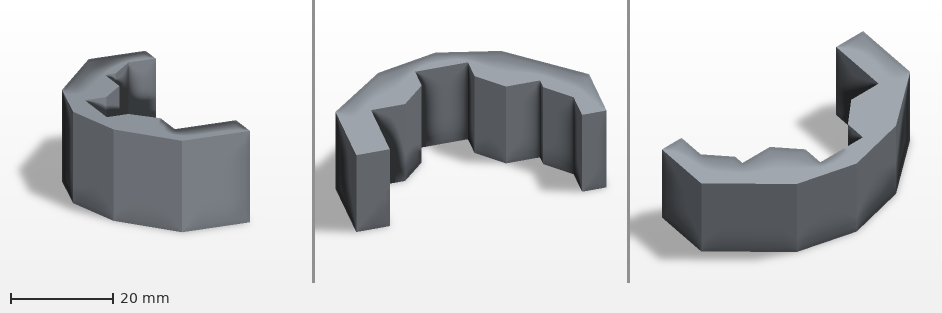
import cadquery as cq

length = 51.0
depth = 27.25
height = 19.0

apex_from_left = 26.95
inner_facet_run = 12.55
inner_facet_rise = 3.1
left_corner_y = 15.1
right_corner_y = 12.75

left_arm_width = 5.0
right_arm_width = 6.85
slot_left_from_side = 21.7
slot_width = 10.75
slot_floor_y = 4.8
bevel = 4.8
slot_bevel_y = 9.4
shelf_offset = 0.15
left_step_height = 2.25

left_x = -apex_from_left
right_x = left_x + length
left_arm_x = left_x + left_arm_width
right_arm_x = right_x - right_arm_width
left_step_x = left_arm_x + bevel
slot_left_x = left_x + slot_left_from_side
slot_right_x = slot_left_x + slot_width
right_shelf_y = slot_bevel_y + bevel
left_shelf_y = right_shelf_y + shelf_offset
left_shelf_bevel = bevel + shelf_offset
step_top_y = left_shelf_y + left_step_height

underside = [
    (left_x, left_corner_y),
    (-inner_facet_run, inner_facet_rise),
    (0, 0),
    (inner_facet_run, inner_facet_rise),
    (right_x, right_corner_y),
]

right_inner_side = [
    (right_x, depth),
    (right_arm_x, depth),
    (right_arm_x, right_shelf_y),
    (slot_right_x + bevel, right_shelf_y),
    (slot_right_x, slot_bevel_y),
    (slot_right_x, slot_floor_y),
]

left_inner_side = [
    (slot_left_x, slot_floor_y),
    (slot_left_x, slot_bevel_y),
    (slot_left_x - left_shelf_bevel, left_shelf_y),
    (left_step_x, left_shelf_y),
    (left_step_x, step_top_y),
    (left_arm_x, step_top_y + bevel),
    (left_arm_x, depth),
    (left_x, depth),
]

profile = underside + right_inner_side + left_inner_side
result = cq.Workplane("XY").polyline(profile).close().extrude(height)